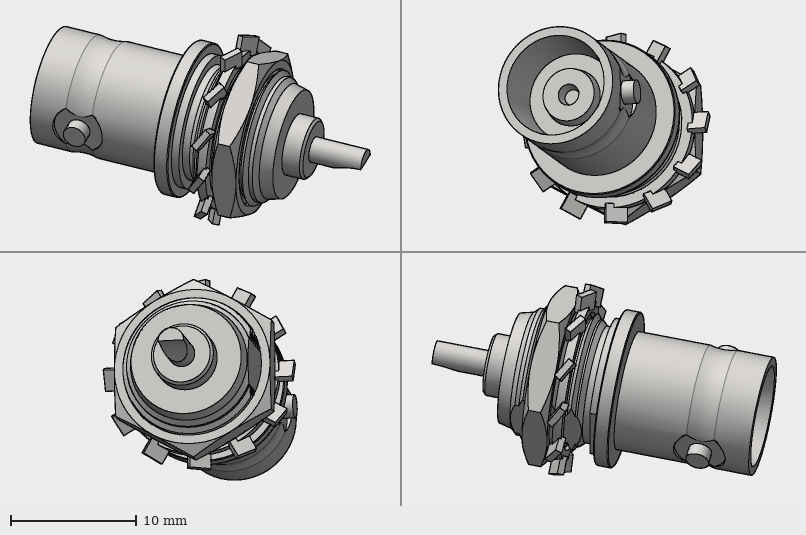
import cadquery as cq
import math


barrel_radius = 4.82
barrel_end = 11.06
mouth_radius = 4.1
floor_radius = 3.6
floor_depth = 4.4
insulator_base_radius = 2.32
insulator_tip_radius = 2.15
insulator_height = 1.08
socket_mouth_radius = 0.85
socket_bottom_radius = 0.65
socket_depth = 1.08
stud_x = 4.06
stud_radius = 0.95
stud_tip = 5.52
stud_seat_radius = 2.13
stud_seat_y = 4.47
groove_half_width = 1.13
groove_depth = 0.15

housing_start = 11.2
flange_radius = 6.35
flange_end = 12.4
flange_chamfer = 0.08
shoulder_radius = 5.52
shoulder_end = 13.05
neck_radius = 4.76
thread_start = 13.68
thread_end = 19.65
nose_end = 20.73
nose_tip_radius = 4.5
boss_radius = 2.53
boss_end = 22.45
boss_chamfer = 0.22
lead_radius = 1.05
lead_end = 26.92
lead_scoop_radius = 4.45
key_flat_y = 4.82

thread_crest_radius = 5.6
thread_root_radius = 5.17
thread_pitch = 0.795
thread_ridge_width = 0.65
thread_first_crest = 14.6
thread_ridge_count = 6

washer_start = 15.02
washer_thickness = 0.73
washer_radius = 6.55
washer_bore_radius = 5.65
tooth_count = 12
tooth_tip_radius = 7.7
tooth_root_radius = 6.2
tooth_width = 1.78
tooth_thickness = 0.57
tooth_twist = 30

nut_start = 16.2
nut_thickness = 2.07
nut_across_flats = 12.7
nut_chamfer_length = 0.55
nut_bore_radius = 5.65


def turned(points):
    """Solid of revolution about the X axis from (x, radius) points."""
    return cq.Workplane("XY").polyline(points).close().revolve(360, (0, 0, 0), (1, 0, 0))


def rod(radius, start, end):
    """Plain cylinder along X."""
    return cq.Workplane("YZ", origin=(start, 0, 0)).circle(radius).extrude(end - start)


def make_barrel():
    insulator_face = floor_depth - insulator_height
    socket_bottom = insulator_face + socket_depth
    body = (
        cq.Workplane("XY")
        .moveTo(0, mouth_radius)
        .lineTo(0, barrel_radius)
        .lineTo(stud_x - groove_half_width, barrel_radius)
        .threePointArc(
            (stud_x, barrel_radius - groove_depth),
            (stud_x + groove_half_width, barrel_radius),
        )
        .lineTo(barrel_end, barrel_radius)
        .lineTo(barrel_end, 0)
        .lineTo(socket_bottom, 0)
        .lineTo(socket_bottom, socket_bottom_radius)
        .lineTo(insulator_face, socket_mouth_radius)
        .lineTo(insulator_face, insulator_tip_radius)
        .lineTo(floor_depth, insulator_base_radius)
        .lineTo(floor_depth, floor_radius)
        .close()
        .revolve(360, (0, 0, 0), (1, 0, 0))
    )
    for side in (-1, 1):
        seat = cq.Workplane("XZ", origin=(stud_x, side * stud_seat_y, 0))
        body = body.cut(seat.circle(stud_seat_radius).extrude(-side * stud_seat_radius))
        body = body.union(seat.circle(stud_radius).extrude(-side * (stud_tip - stud_seat_y)))
    return body


def make_stem():
    """Everything behind the shoulder: neck, ridged thread, nose, boss and lead."""
    points = [
        (shoulder_end, 0),
        (shoulder_end, neck_radius),
        (thread_start, neck_radius),
        (thread_start + thread_crest_radius - thread_root_radius, thread_root_radius),
    ]
    for i in range(thread_ridge_count):
        crest_x = thread_first_crest + i * thread_pitch
        points.append((crest_x - thread_ridge_width / 2, thread_root_radius))
        points.append((crest_x, thread_crest_radius))
        points.append((crest_x + thread_ridge_width / 2, thread_root_radius))
    points += [
        (thread_end - (thread_crest_radius - thread_root_radius), thread_root_radius),
        (thread_end, neck_radius),
        (nose_end, nose_tip_radius),
        (nose_end, boss_radius),
        (boss_end - boss_chamfer, boss_radius),
        (boss_end, boss_radius - boss_chamfer),
        (boss_end, lead_radius),
        (lead_end, lead_radius),
        (lead_end, 0),
    ]
    scoop = (
        cq.Workplane("XZ", origin=(lead_end, lead_radius, -lead_scoop_radius))
        .circle(lead_scoop_radius)
        .extrude(2 * lead_radius)
    )
    return turned(points).cut(scoop)


def make_housing():
    flange = rod(flange_radius, housing_start, flange_end).edges().chamfer(flange_chamfer)
    shoulder = rod(shoulder_radius, flange_end, shoulder_end)

    key_flat = cq.Workplane("XY", origin=(flange_end, key_flat_y, 0)).box(
        thread_end - flange_end, shoulder_radius, 2 * flange_radius, centered=(False, False, True)
    )
    return flange.union(shoulder.union(make_stem()).cut(key_flat))


def make_washer():
    washer_end = washer_start + washer_thickness
    middle = (washer_start + washer_end) / 2
    washer = rod(washer_radius, washer_start, washer_end)
    tooth = (
        cq.Workplane("XY", origin=(middle, 0, tooth_root_radius))
        .transformed(rotate=(0, 0, -tooth_twist))
        .rect(tooth_thickness, tooth_width)
        .extrude(tooth_tip_radius - tooth_root_radius)
    )
    for i in range(tooth_count):
        washer = washer.union(tooth.rotate((0, 0, 0), (1, 0, 0), i * 360 / tooth_count))
    return washer.cut(rod(washer_bore_radius, washer_start, washer_end))


def make_nut():
    across_corners = nut_across_flats / math.cos(math.pi / 6)
    nut_end = nut_start + nut_thickness
    flat_radius = nut_across_flats / 2
    corner_radius = across_corners / 2
    hexagon = (
        cq.Workplane("YZ", origin=(nut_start, 0, 0))
        .polygon(6, across_corners)
        .extrude(nut_thickness)
        .rotate((0, 0, 0), (1, 0, 0), 30)
    )
    envelope = turned([
        (nut_start, 0),
        (nut_start, flat_radius),
        (nut_start + nut_chamfer_length, corner_radius),
        (nut_end - nut_chamfer_length, corner_radius),
        (nut_end, flat_radius),
        (nut_end, 0),
    ])
    return hexagon.intersect(envelope).cut(rod(nut_bore_radius, nut_start, nut_end))


barrel = make_barrel()
housing = make_housing()
washer = make_washer()
nut = make_nut()

result = cq.Compound.makeCompound([barrel.val(), housing.val(), washer.val(), nut.val()])